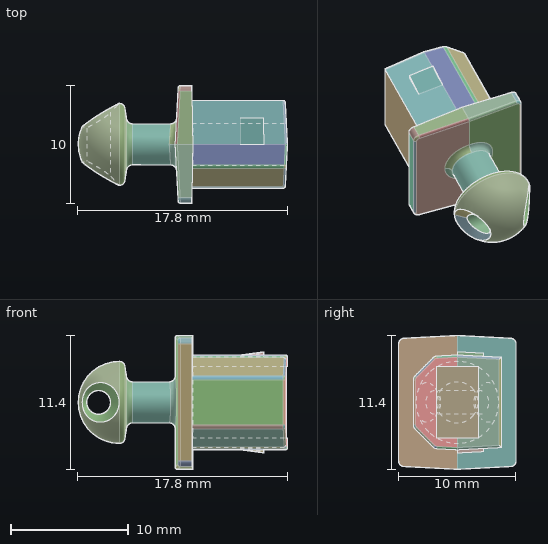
import cadquery as cq

TOTAL_LENGTH = 17.8
FLANGE_FRONT = 8.25
FLANGE_REAR = 9.75

CROWN = 0.052
REAR_CROWN = 0.017

HEAD_RADIUS = 7.0 / 2
BACK_ROUND = 0.5
BACK_DISH = 0.12
HOLE_DIAMETER = 2.0
HOLE_X = 1.75
HOLE_CHAMFER = 0.75

STEM_RADIUS = 3.5 / 2
STEM_FLARE = 0.5
STEM_START = HEAD_RADIUS + BACK_ROUND + BACK_DISH + STEM_FLARE

FLANGE_WIDTH = 10.0
FLANGE_HEIGHT = 11.4
FLANGE_CORNER_RADIUS = 0.5
FLANGE_RIM_RADIUS = 0.2

BODY_WIDTH = 7.48
BODY_HEIGHT = 8.06
BODY_CHAMFER = 1.82
BODY_EDGE_RADIUS = 0.5
BODY_END_RADIUS = 0.2

POCKET_WIDTH = 3.56
POCKET_HEIGHT = 6.09

LATCH_START = 13.8
LATCH_END = 15.79
LATCH_WIDTH = 2.22
LATCH_RISE = 0.27

OVERLAP = 0.18
SLACK = 0.18

MID_ARC = 0.5 ** 0.5


def make_head():
    """Half ball with a rounded, slightly dished back and a chamfered cross hole."""
    back_x = HEAD_RADIUS + BACK_ROUND
    back_radius = HEAD_RADIUS - BACK_ROUND
    dish_x = back_x + BACK_DISH
    head = (
        cq.Workplane("XY")
        .moveTo(0, 0)
        .threePointArc(
            (HEAD_RADIUS * (1 - MID_ARC), HEAD_RADIUS * MID_ARC),
            (HEAD_RADIUS, HEAD_RADIUS),
        )
        .threePointArc(
            (HEAD_RADIUS + BACK_ROUND * MID_ARC, back_radius + BACK_ROUND * MID_ARC),
            (back_x, back_radius),
        )
        .lineTo(dish_x, STEM_RADIUS + STEM_FLARE)
        .threePointArc(
            (dish_x + STEM_FLARE * (1 - MID_ARC), STEM_RADIUS + STEM_FLARE * (1 - MID_ARC)),
            (STEM_START, STEM_RADIUS),
        )
        .lineTo(STEM_START, 0)
        .close()
        .revolve(360, (0, 0, 0), (1, 0, 0))
    )
    hole = (
        cq.Workplane("XZ", origin=(HOLE_X, 0, 0))
        .circle(HOLE_DIAMETER / 2)
        .extrude(HEAD_RADIUS, both=True)
    )
    return head.cut(hole).faces("%CYLINDER").edges("%BSPLINE").chamfer(HOLE_CHAMFER)


def make_flange():
    """Crowned rectangular plate with rounded corners and a rounded front rim."""
    half_width = FLANGE_WIDTH / 2
    half_height = FLANGE_HEIGHT / 2
    side_drop = CROWN * half_width
    side_height = half_height - side_drop
    front_side = FLANGE_FRONT + side_drop
    rear_side = FLANGE_REAR - REAR_CROWN * half_width
    plate = (
        cq.Workplane("YZ")
        .moveTo(-half_width, -side_height)
        .lineTo(0, -half_height)
        .lineTo(half_width, -side_height)
        .lineTo(half_width, side_height)
        .lineTo(0, half_height)
        .lineTo(-half_width, side_height)
        .close()
        .extrude(TOTAL_LENGTH)
        .faces("<Y or >Y")
        .edges("|X")
        .fillet(FLANGE_CORNER_RADIUS)
    )
    side_profile = (
        cq.Workplane("XY")
        .moveTo(FLANGE_FRONT, 0)
        .lineTo(front_side, half_width)
        .lineTo(rear_side, half_width)
        .lineTo(FLANGE_REAR, 0)
        .lineTo(rear_side, -half_width)
        .lineTo(front_side, -half_width)
        .close()
        .extrude(half_height, both=True)
    )
    front_edges = cq.selectors.BoxSelector(
        (FLANGE_FRONT - SLACK, -FLANGE_WIDTH, -FLANGE_HEIGHT),
        (front_side + SLACK, FLANGE_WIDTH, FLANGE_HEIGHT),
    )
    middle_ridge = cq.selectors.NearestToPointSelector((FLANGE_FRONT, 0, 0))
    return plate.intersect(side_profile).edges(front_edges - middle_ridge).fillet(FLANGE_RIM_RADIUS)


def add_stem(flange):
    """Join a round stem to the flange and flare its root."""
    stem = (
        cq.Workplane("YZ", origin=(STEM_START, 0, 0))
        .circle(STEM_RADIUS)
        .extrude(FLANGE_REAR - STEM_START)
    )
    reach = STEM_RADIUS + SLACK
    root = cq.selectors.BoxSelector(
        (FLANGE_FRONT, -reach, -reach), (FLANGE_FRONT + SLACK, reach, reach)
    )
    return flange.union(stem).edges(root).edges("%ELLIPSE").fillet(STEM_FLARE)


def make_body():
    """Crowned plug body, chamfered along its two -Y corners, with a pocket in its end."""
    half_width = BODY_WIDTH / 2
    half_height = BODY_HEIGHT / 2
    side_drop = CROWN * half_width
    side_height = half_height - side_drop
    chamfer_y = BODY_CHAMFER - half_width
    chamfer_top = half_height + CROWN * chamfer_y
    chamfer_bottom = chamfer_top - BODY_CHAMFER
    prism = (
        cq.Workplane("YZ")
        .moveTo(0, half_height)
        .lineTo(half_width, side_height)
        .lineTo(half_width, -side_height)
        .lineTo(0, -half_height)
        .lineTo(chamfer_y, -chamfer_top)
        .lineTo(-half_width, -chamfer_bottom)
        .lineTo(-half_width, chamfer_bottom)
        .lineTo(chamfer_y, chamfer_top)
        .close()
        .extrude(TOTAL_LENGTH)
    )
    minus_y_corners = cq.selectors.BoxSelector(
        (0, -BODY_WIDTH, -BODY_HEIGHT), (TOTAL_LENGTH, chamfer_y + SLACK, BODY_HEIGHT)
    )
    prism = prism.edges("|X").edges(minus_y_corners).fillet(BODY_EDGE_RADIUS)
    end_side = TOTAL_LENGTH - side_drop
    body_start = FLANGE_REAR - OVERLAP
    side_profile = (
        cq.Workplane("XY")
        .moveTo(body_start, -half_width)
        .lineTo(end_side, -half_width)
        .lineTo(TOTAL_LENGTH, 0)
        .lineTo(end_side, half_width)
        .lineTo(body_start, half_width)
        .close()
        .extrude(half_height, both=True)
    )
    body = prism.intersect(side_profile)
    end_edges = cq.selectors.BoxSelector(
        (end_side - SLACK, -BODY_WIDTH, -BODY_HEIGHT),
        (TOTAL_LENGTH + SLACK, BODY_WIDTH, BODY_HEIGHT),
    )
    middle_ridge = cq.selectors.NearestToPointSelector((TOTAL_LENGTH, 0, 0))
    body = body.edges(end_edges - middle_ridge).fillet(BODY_END_RADIUS)
    pocket = (
        cq.Workplane("YZ", origin=(FLANGE_REAR, 0, 0))
        .rect(POCKET_WIDTH, POCKET_HEIGHT)
        .extrude(TOTAL_LENGTH - FLANGE_REAR)
    )
    return body.cut(pocket)


def make_latch():
    """Wedge on the +Y half of the top face, rising towards the end of the body."""
    base = BODY_HEIGHT / 2
    side_base = base - CROWN * LATCH_WIDTH
    root = side_base - OVERLAP

    def section(y, base_height, end_x):
        return cq.Wire.makePolygon(
            [
                cq.Vector(LATCH_START, y, root),
                cq.Vector(end_x, y, root),
                cq.Vector(end_x, y, base_height + LATCH_RISE),
                cq.Vector(LATCH_START, y, base_height),
            ],
            close=True,
        )

    side_end = LATCH_END - REAR_CROWN * LATCH_WIDTH
    wedge = cq.Solid.makeLoft(
        [section(0, base, LATCH_END), section(LATCH_WIDTH, side_base, side_end)], True
    )
    return cq.Workplane(wedge)


latch = make_latch()
result = (
    add_stem(make_flange())
    .union(make_head())
    .union(make_body())
    .union(latch)
    .union(latch.mirror("XY"))
)